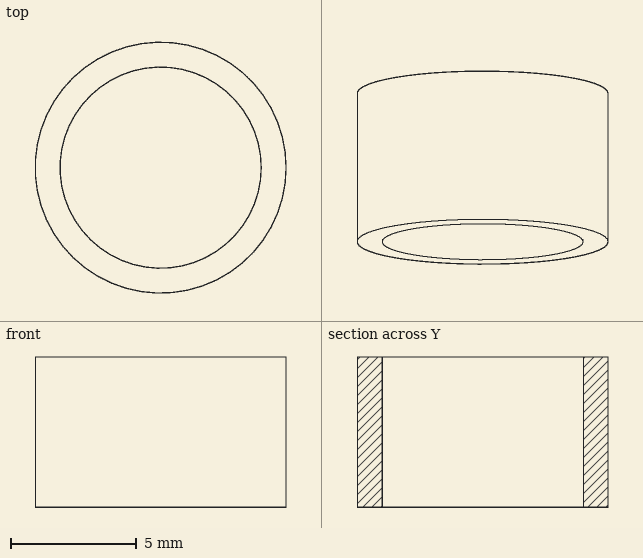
import cadquery as cq

outer_diameter = 10.0
wall_thickness = 1.0
length = 6.0

bore_diameter = outer_diameter - 2 * wall_thickness


def make_bushing():
    """Ring-shaped section extruded upward from the XY plane."""
    section = cq.Workplane("XY").circle(outer_diameter / 2).circle(bore_diameter / 2)
    return section.extrude(length)


result = make_bushing()